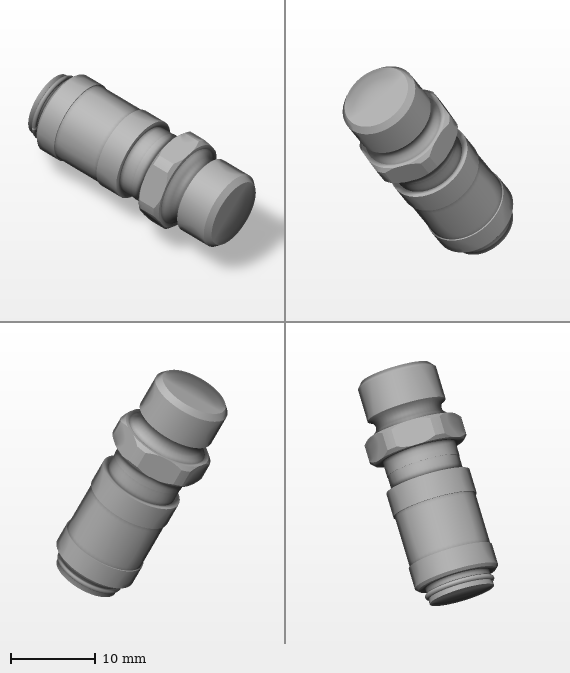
import cadquery as cq
import math

total_length = 28.05

nose_diameter = 8.0
groove_diameter = 7.4
groove_start = 0.6
groove_width = 0.67
groove_end = groove_start + groove_width

wire_diameter = 0.6
ring_gap = 0.42
ring_center_x = groove_start + groove_width / 2
ring_mean_radius = (groove_diameter + wire_diameter) / 2

sleeve_start = 1.94
sleeve_end = 14.3
sleeve_diameter = 10.35
sleeve_chamfer = 0.35
band_start = 4.85
band_end = 11.3
band_diameter = 10.0

shank_diameter = 8.9
shank_step_x = 16.18
collar_diameter = 9.0

hex_start = 18.0
hex_end = 21.07
hex_across_flats = 11.0
hex_corner_diameter = 12.0
hex_chamfer = 0.45
hex_tilt = -2.8

neck_cone_diameter = 10.07
neck_cone_length = 0.67
neck_diameter = 8.15
neck_bottom_x = 22.35
neck_arc_end_x = 23.17
neck_arc_end_diameter = 9.15

thread_start = 23.3
thread_diameter = 9.7
thread_chamfer_length = 0.7
thread_end_diameter = 8.47


def turned_body():
    """Revolve the round profile of the coupling from nose to thread."""
    neck_arc_start_x = hex_end + neck_cone_length
    neck_arc_start_radius = neck_cone_diameter / 2 - neck_cone_length
    profile = (
        cq.Workplane("XY")
        .moveTo(0, 0)
        .lineTo(0, nose_diameter / 2)
        .lineTo(groove_start, nose_diameter / 2)
        .lineTo(groove_start, groove_diameter / 2)
        .lineTo(groove_end, groove_diameter / 2)
        .lineTo(groove_end, nose_diameter / 2)
        .lineTo(sleeve_start, nose_diameter / 2)
        .lineTo(sleeve_start, sleeve_diameter / 2 - sleeve_chamfer)
        .lineTo(sleeve_start + sleeve_chamfer, sleeve_diameter / 2)
        .lineTo(band_start, sleeve_diameter / 2)
        .lineTo(band_start, band_diameter / 2)
        .lineTo(band_end, band_diameter / 2)
        .lineTo(band_end, sleeve_diameter / 2)
        .lineTo(sleeve_end, sleeve_diameter / 2)
        .lineTo(sleeve_end, shank_diameter / 2)
        .lineTo(shank_step_x, shank_diameter / 2)
        .lineTo(shank_step_x, collar_diameter / 2)
        .lineTo(hex_end, collar_diameter / 2)
        .lineTo(hex_end, neck_cone_diameter / 2)
        .lineTo(neck_arc_start_x, neck_arc_start_radius)
        .threePointArc(
            (neck_bottom_x, neck_diameter / 2),
            (neck_arc_end_x, neck_arc_end_diameter / 2),
        )
        .lineTo(thread_start, thread_diameter / 2)
        .lineTo(total_length - thread_chamfer_length, thread_diameter / 2)
        .lineTo(total_length, thread_end_diameter / 2)
        .lineTo(total_length, 0)
        .close()
    )
    return profile.revolve(360, (0, 0, 0), (1, 0, 0))


def hexagon():
    """Hexagonal prism trimmed by a cylinder chamfered at both ends."""
    length = hex_end - hex_start
    sharp_corner_diameter = hex_across_flats / math.cos(math.pi / 6)
    prism = (
        cq.Workplane("YZ", origin=(hex_start, 0, 0))
        .polygon(6, sharp_corner_diameter)
        .extrude(length)
        .rotate((0, 0, 0), (1, 0, 0), hex_tilt)
    )
    trim = (
        cq.Workplane("YZ", origin=(hex_start, 0, 0))
        .circle(hex_corner_diameter / 2)
        .extrude(length)
        .edges()
        .chamfer(hex_chamfer)
    )
    return prism.intersect(trim)


def make_coupling():
    return turned_body().union(hexagon())


def make_snap_ring():
    """Ring of round wire, split by a parallel gap on the -Y side."""
    ring = (
        cq.Workplane("XY")
        .center(ring_center_x, ring_mean_radius)
        .circle(wire_diameter / 2)
        .revolve(360, (0, -ring_mean_radius, 0), (1, -ring_mean_radius, 0))
    )
    cutter_size = 2 * wire_diameter
    gap = (
        cq.Workplane("XY", origin=(ring_center_x, -ring_mean_radius, 0))
        .box(cutter_size, cutter_size, ring_gap)
    )
    return ring.cut(gap)


coupling = make_coupling()
snap_ring = make_snap_ring()

result = cq.Compound.makeCompound([coupling.val(), snap_ring.val()])